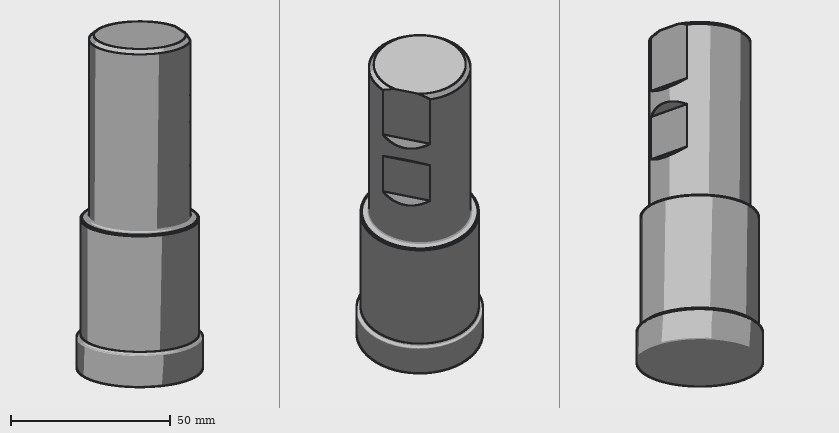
import cadquery as cq

arc_inset = 1 - 0.5 ** 0.5

total_height = 110.0
step_height = 49.9
collar_height = 11.4

shank_radius = 32.0 / 2
shank_chamfer = 1.5
shank_chamfer_height = 1.3
neck_radius = 37.3 / 2
neck_chamfer = 0.4
step_fillet = 0.9

collar_radius = 39.9 / 2
collar_root_fillet = 0.9
collar_top_rounding = 0.3
collar_bottom_rounding = 0.7

flat_distance = 14.0
upper_flat_bottom = 90.5
lower_flat_top = 81.7
lower_flat_bottom = 67.3
cutter_half_width = 1.5 * shank_radius
cutter_reach = 5.5


def make_flat_cutter(bottom, top):
    """Cutter with 45 degree end walls that spreads outward from the flat."""
    return (
        cq.Workplane("YZ")
        .moveTo(flat_distance, bottom)
        .lineTo(flat_distance + cutter_reach, bottom - cutter_reach)
        .lineTo(flat_distance + cutter_reach, top + cutter_reach)
        .lineTo(flat_distance, top)
        .close()
        .extrude(cutter_half_width, both=True)
    )


def make_holder():
    """Turned shank and neck with a filleted step and two clamping flats."""
    fillet_offset = step_fillet * arc_inset
    profile = (
        cq.Workplane("XZ")
        .moveTo(0, collar_height)
        .lineTo(neck_radius, collar_height)
        .lineTo(neck_radius, step_height - neck_chamfer)
        .lineTo(neck_radius - neck_chamfer, step_height)
        .lineTo(shank_radius + step_fillet, step_height)
        .threePointArc(
            (shank_radius + fillet_offset, step_height + fillet_offset),
            (shank_radius, step_height + step_fillet),
        )
        .lineTo(shank_radius, total_height - shank_chamfer_height)
        .lineTo(shank_radius - shank_chamfer, total_height)
        .lineTo(0, total_height)
        .close()
    )
    holder = profile.revolve(360, (0, 0, 0), (0, 1, 0))
    for bottom, top in [(upper_flat_bottom, total_height), (lower_flat_bottom, lower_flat_top)]:
        holder = holder.cut(make_flat_cutter(bottom, top))
    return holder


def make_collar():
    """Solid ring under the neck, flared out from the neck by a concave fillet."""
    shoulder_height = collar_height - collar_root_fillet
    fillet_offset = collar_root_fillet * arc_inset
    rounding_offset = collar_top_rounding * arc_inset
    bottom_offset = collar_bottom_rounding * arc_inset
    profile = (
        cq.Workplane("XZ")
        .lineTo(collar_radius - collar_bottom_rounding, 0)
        .threePointArc(
            (collar_radius - bottom_offset, bottom_offset),
            (collar_radius, collar_bottom_rounding),
        )
        .lineTo(collar_radius, shoulder_height - collar_top_rounding)
        .threePointArc(
            (collar_radius - rounding_offset, shoulder_height - rounding_offset),
            (collar_radius - collar_top_rounding, shoulder_height),
        )
        .lineTo(neck_radius + collar_root_fillet, shoulder_height)
        .threePointArc(
            (neck_radius + fillet_offset, shoulder_height + fillet_offset),
            (neck_radius, collar_height),
        )
        .lineTo(0, collar_height)
        .close()
    )
    return profile.revolve(360, (0, 0, 0), (0, 1, 0))


holder = make_holder()
collar = make_collar()

result = cq.Compound.makeCompound([holder.val(), collar.val()])